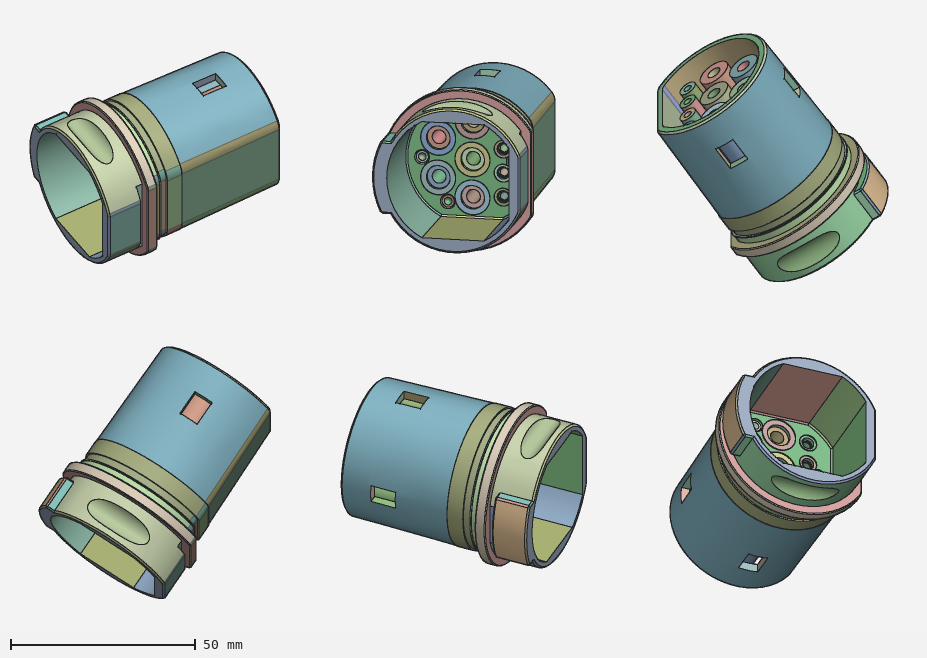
import cadquery as cq
import math

LENGTH = 56.3

FLANGE_R = 22.5
FLANGE_FLAT = 19.1
FLANGE_ROUND = 2.0
FLANGE_START = 12.1
FLANGE_END = 15.15
FLANGE_CHAMFER = 0.3

COLLAR_R = 20.1
COLLAR_FLAT = 18.5
COLLAR_ROUND = 2.55
COLLAR_END = 10.2
FRONT_CHAMFER = 0.5
KEY_R = 22.4
KEY_HALF_WIDTH = 10.1
KEY_CHAMFER = 0.45
NECK_LEFT = 19.15
NECK_RIGHT = 16.2
SCOOP_R = 3.6
SCOOP_Y = 5.6
SCOOP_FLOOR = 17.6

BARREL_ROUND = 4.7
SEAT_R = 20.05
SEAT_FLAT = 16.75
RIB_R = 20.2
RIB_FLAT = 16.95
RIB_START = 17.2
RIB_END = 17.6
GROOVE_R = 19.65
GROOVE_FLAT = 16.2
GROOVE_END = 19.75
BAND_R = 20.1
BAND_FLAT = 16.8
BAND_END = 24.4
SLEEVE_R = 20.0
SLEEVE_FLAT = 16.65
SLEEVE_END_R = 19.4
REAR_CHAMFER = 0.55

POCKET_R = 18.35
POCKET_HALF_HEIGHT = 16.2
POCKET_RIGHT = 15.5
POCKET_DEPTH = 24.6
POCKET_CHAMFER = 0.45

CHAMBER_START = 28.15
CHAMBER_R = 17.15
CHAMBER_FLAT = 14.05
CHAMBER_ROUND = 2.8
WINDOW_START = 39.9
WINDOW_END = 47.2
WINDOW_WIDTH = 5.55
SIDE_WINDOW_WIDTH = 5.3

POWER_PITCH = 10.6
POWER_LEFT_X = -9.5
POWER_LEFT_Z = 5.5
SIGNAL_X = 8.5
SIGNAL_PITCH = 6.7
POWER_CONTACTS = [(0, -POWER_PITCH), (0, 0), (0, POWER_PITCH)]
POWER_CONTACTS += [(POWER_LEFT_X, -POWER_LEFT_Z), (POWER_LEFT_X, POWER_LEFT_Z)]
SIGNAL_CONTACTS = [(SIGNAL_X, step * SIGNAL_PITCH) for step in (-1.5, -0.5, 0.5, 1.5)]

TUBE_END = 52.35
POWER_TUBE_R = 4.45
POWER_RECESS_R = 4.85
POWER_COUNTERBORE_R = 3.25
POWER_BORE_R = 1.9
SIGNAL_TUBE_R = 2.5
SIGNAL_RECESS_R = 2.5
SIGNAL_COUNTERBORE_R = 1.7
SIGNAL_FUNNEL_R = 1.45
SIGNAL_BORE_R = 1.1
RECESS_DEPTH = 0.3
COUNTERBORE_DEPTH = 1.1

SCREW_SEATS = [(-13.95, 0), (11.4, 0), (-6.8, 12.05), (-6.8, -12.05)]
SCREW_SEAT_R = 2.0
SCREW_SEAT_DEPTH = 0.45
SCREW_SEAT_CHAMFER = 0.35
SCREW_DIMPLE_R = 1.05
SCREW_DIMPLE_DEPTH = 1.1


def plane_at(y):
    """Workplane across the axis at y, drawn in (x, z)."""
    return cq.Workplane("XZ", origin=(0, y, 0))


def disc(radius, start, end, x=0, z=0):
    """Cylinder along Y from start to end."""
    return plane_at(start).center(x, z).circle(radius).extrude(start - end)


def cone(start_radius, end_radius, start, length, x=0, z=0):
    """Cone along Y, starting at start."""
    axis_point = cq.Vector(x, start, z)
    return cq.Workplane(
        obj=cq.Solid.makeCone(start_radius, end_radius, length, axis_point, cq.Vector(0, 1, 0))
    )


def flat_disc(radius, flat, corner, start, end, taper=0):
    """Disc with a flat on +X, blended into the round by the corner radius."""
    centre_x = flat - corner
    centre_z = math.sqrt((radius - corner) ** 2 - centre_x ** 2)
    blend_angle = math.atan2(centre_z, centre_x)
    tangent_x = radius * math.cos(blend_angle)
    tangent_z = radius * math.sin(blend_angle)
    middle_x = centre_x + corner * math.cos(blend_angle / 2)
    middle_z = centre_z + corner * math.sin(blend_angle / 2)
    return (
        plane_at(start)
        .moveTo(flat, -centre_z)
        .lineTo(flat, centre_z)
        .threePointArc((middle_x, middle_z), (tangent_x, tangent_z))
        .threePointArc((-radius, 0), (tangent_x, -tangent_z))
        .threePointArc((middle_x, -middle_z), (flat, -centre_z))
        .close()
        .extrude(start - end, taper=taper)
    )


def block(x_range, y_range, z_range):
    """Box given by its limits on each axis."""
    sizes = [high - low for low, high in (x_range, y_range, z_range)]
    corner = (x_range[0], y_range[0], z_range[0])
    return cq.Workplane("XY").box(*sizes, centered=False).translate(corner)


def make_collar():
    """Front collar with key, necked step behind it and two finger scoops."""
    collar = flat_disc(COLLAR_R, COLLAR_FLAT, COLLAR_ROUND, 0, COLLAR_END)
    collar = collar.faces("<Y").chamfer(FRONT_CHAMFER)
    key_slice = block((-FLANGE_R, 0), (0, COLLAR_END), (-KEY_HALF_WIDTH, KEY_HALF_WIDTH))
    key = disc(KEY_R, 0, COLLAR_END).intersect(key_slice)
    key = key.edges().chamfer(KEY_CHAMFER)
    neck_slice = block((-NECK_LEFT, NECK_RIGHT), (COLLAR_END, FLANGE_START), (-COLLAR_R, COLLAR_R))
    neck = disc(COLLAR_R, COLLAR_END, FLANGE_START).intersect(neck_slice)
    collar = collar.union(key).union(neck)
    for side in (-1, 1):
        scoop = cq.Workplane("YZ").center(SCOOP_Y, side * (SCOOP_FLOOR + SCOOP_R))
        collar = collar.cut(scoop.circle(SCOOP_R).extrude(COLLAR_R, both=True))
    return collar


def make_flange():
    """Stop flange with both rims chamfered."""
    flange = flat_disc(FLANGE_R, FLANGE_FLAT, FLANGE_ROUND, FLANGE_START, FLANGE_END)
    return flange.faces("<Y or >Y").chamfer(FLANGE_CHAMFER)


def make_barrel():
    """Stepped barrel behind the flange, ending in a tapered sleeve."""
    seat = flat_disc(SEAT_R, SEAT_FLAT, BARREL_ROUND, FLANGE_END, RIB_START)
    rib = flat_disc(RIB_R, RIB_FLAT, BARREL_ROUND, RIB_START, RIB_END)
    groove = flat_disc(GROOVE_R, GROOVE_FLAT, BARREL_ROUND, RIB_END, GROOVE_END)
    band = flat_disc(BAND_R, BAND_FLAT, BARREL_ROUND, GROOVE_END, BAND_END)
    taper = math.degrees(math.atan((SLEEVE_R - SLEEVE_END_R) / (LENGTH - BAND_END)))
    sleeve = flat_disc(SLEEVE_R, SLEEVE_FLAT, BARREL_ROUND, BAND_END, LENGTH, taper)
    sleeve = sleeve.faces(">Y").chamfer(REAR_CHAMFER)
    return seat.union(rib).union(groove).union(band).union(sleeve)


def make_pocket():
    """Front pocket with a chamfer around its floor."""
    limits = block(
        (-POCKET_R, POCKET_RIGHT),
        (0, POCKET_DEPTH),
        (-POCKET_HALF_HEIGHT, POCKET_HALF_HEIGHT),
    )
    pocket = disc(POCKET_R, 0, POCKET_DEPTH).intersect(limits)
    return pocket.faces(">Y").chamfer(POCKET_CHAMFER)


def make_windows():
    """Latch windows on the left, top and bottom of the sleeve wall."""
    half = WINDOW_WIDTH / 2
    side_half = SIDE_WINDOW_WIDTH / 2
    along = (WINDOW_START, WINDOW_END)
    left = block((-FLANGE_R, -CHAMBER_FLAT), along, (-side_half, side_half))
    top = block((-half, half), along, (CHAMBER_FLAT, FLANGE_R))
    bottom = block((-half, half), along, (-FLANGE_R, -CHAMBER_FLAT))
    return left.union(top).union(bottom)


def make_bore(recess_r, counterbore_r, bore_r):
    """Stepped bore of a contact on the Y axis, sunk from the pocket floor."""
    recess_end = POCKET_DEPTH + RECESS_DEPTH
    counterbore_end = recess_end + COUNTERBORE_DEPTH
    recess = disc(recess_r, POCKET_DEPTH, recess_end)
    counterbore = disc(counterbore_r, recess_end, counterbore_end)
    return recess.union(counterbore).union(disc(bore_r, counterbore_end, TUBE_END))


def add_contacts(body, places, tube_r, bore):
    """Add a rear tube at each place and cut the bore through it."""
    for x, z in places:
        body = body.union(disc(tube_r, CHAMBER_START, TUBE_END, x, z))
    for x, z in places:
        body = body.cut(bore.translate((x, 0, z)))
    return body


def make_screw_seat(x, z):
    """Chamfered round recess with a conical dimple in its floor."""
    floor = POCKET_DEPTH + SCREW_SEAT_DEPTH
    seat = disc(SCREW_SEAT_R, POCKET_DEPTH, floor, x, z).faces(">Y").chamfer(SCREW_SEAT_CHAMFER)
    return seat.union(cone(SCREW_DIMPLE_R, 0, floor, SCREW_DIMPLE_DEPTH, x, z))


body = make_collar().union(make_flange()).union(make_barrel())
body = body.cut(make_pocket())
body = body.cut(flat_disc(CHAMBER_R, CHAMBER_FLAT, CHAMBER_ROUND, CHAMBER_START, LENGTH))
body = body.cut(make_windows())
power_bore = make_bore(POWER_RECESS_R, POWER_COUNTERBORE_R, POWER_BORE_R)
signal_bore = make_bore(SIGNAL_RECESS_R, SIGNAL_COUNTERBORE_R, SIGNAL_BORE_R)
funnel_start = POCKET_DEPTH + RECESS_DEPTH + COUNTERBORE_DEPTH
funnel_length = SIGNAL_COUNTERBORE_R - SIGNAL_FUNNEL_R
signal_funnel = cone(SIGNAL_COUNTERBORE_R, SIGNAL_FUNNEL_R, funnel_start, funnel_length)
signal_bore = signal_bore.union(signal_funnel)
body = add_contacts(body, POWER_CONTACTS, POWER_TUBE_R, power_bore)
body = add_contacts(body, SIGNAL_CONTACTS, SIGNAL_TUBE_R, signal_bore)
for seat_x, seat_z in SCREW_SEATS:
    body = body.cut(make_screw_seat(seat_x, seat_z))

result = body